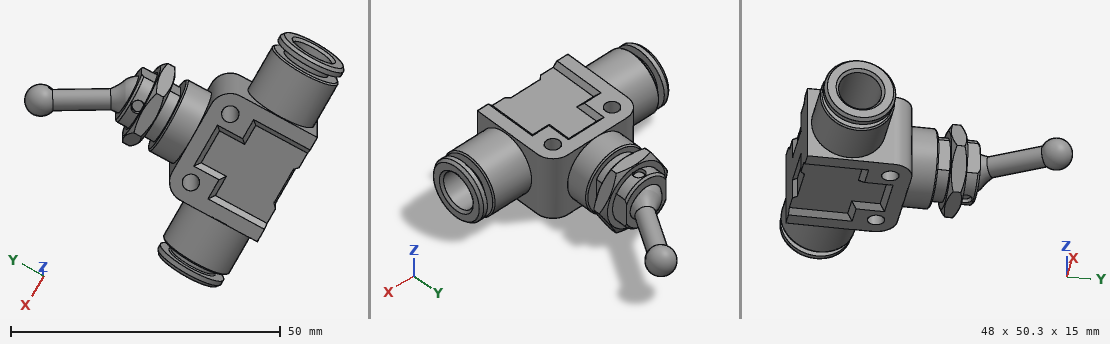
import cadquery as cq
import math


body_width = 22.9
body_thickness = 15.0
body_bottom = -7.75
body_top = 12.55
body_corner_radius = 4.0
mount_hole_diameter = 3.2
mount_hole_spacing = 15.0
mount_hole_y = body_top - body_corner_radius

pocket_depth = 1.0
pocket_wall_angle = 45.0
pocket_half_width = 8.7
pocket_step_y = 4.25
pocket_neck_half_width = 4.5
pocket_top = 9.6

notch_depth = 0.8
notch_half_width = pocket_neck_half_width
web_thickness = 5.0

port_radius = 7.0
port_end = 21.0
port_chamfer = 0.3
sleeve_end = 24.0
sleeve_neck_radius = 4.65
sleeve_neck_chamfer = 0.25
flange_radius = 6.75
flange_width = 1.6
flange_chamfer_length = 0.65
flange_chamfer_height = 0.5
bore_radius = 4.05
bore_mouth_chamfer = 0.55
bore_floor = body_width / 2

collar_radius = body_thickness / 2
collar_top = 17.75
collar_chamfer = 0.3
neck_radius = 6.0
neck_flat_half_width = 5.0
neck_top = 25.95
neck_chamfer = 0.45

nut_sides = 6
nut_across_flats = 15.0
nut_across_corners = nut_across_flats / math.cos(math.pi / nut_sides)
nut_bottom = 20.15
nut_thickness = 3.05
nut_face_radius = 7.3
nut_chamfer_angle = 30.0

pivot_y = 24.0
lever_tilt = 30.0
lever_length = 18.0
lever_ball_radius = 3.0
lever_rod_radius = 2.0
lever_rod_start = 5.0
pivot_ball_radius = 4.25
pivot_ball_end = 2.2
pivot_blend_radius = 10.0

pin_hole_radius = 1.27
pin_radius = 1.1
pin_recess = 0.8


def make_body():
    height = body_top - body_bottom
    body = (
        cq.Workplane("XY")
        .center(0, (body_top + body_bottom) / 2)
        .box(body_width, height, body_thickness)
        .edges("|Z and >Y")
        .fillet(body_corner_radius)
    )
    holes = (
        cq.Workplane("XY", origin=(0, mount_hole_y, -body_thickness / 2))
        .rarray(mount_hole_spacing, 1, 2, 1)
        .circle(mount_hole_diameter / 2)
        .extrude(body_thickness)
    )
    return body.cut(holes)


def tapered_block(half_width, top):
    """Block below the upper body face whose walls slope inward toward the pocket floor."""
    open_end = body_bottom - 2 * pocket_depth
    return (
        cq.Workplane("XY", origin=(0, 0, body_thickness / 2))
        .center(0, (top + open_end) / 2)
        .rect(2 * half_width, top - open_end)
        .extrude(-pocket_depth, taper=pocket_wall_angle)
    )


def make_pocket():
    wide_part = tapered_block(pocket_half_width, pocket_step_y)
    narrow_part = tapered_block(pocket_neck_half_width, pocket_top)
    return wide_part.union(narrow_part)


def make_notch():
    floor_half_width = notch_half_width - notch_depth
    return (
        cq.Workplane("XY", origin=(0, 0, web_thickness / 2))
        .moveTo(-notch_half_width, body_bottom)
        .lineTo(-floor_half_width, body_bottom + notch_depth)
        .lineTo(floor_half_width, body_bottom + notch_depth)
        .lineTo(notch_half_width, body_bottom)
        .close()
        .extrude((body_thickness - web_thickness) / 2)
    )


def make_port():
    """Port and sleeve on the +X side, turned about the X axis."""
    flange_start = sleeve_end - flange_width
    return (
        cq.Workplane("XY")
        .moveTo(bore_floor, bore_radius)
        .lineTo(bore_floor, port_radius)
        .lineTo(port_end - port_chamfer, port_radius)
        .lineTo(port_end, port_radius - port_chamfer)
        .lineTo(port_end, sleeve_neck_radius)
        .lineTo(flange_start - sleeve_neck_chamfer, sleeve_neck_radius)
        .lineTo(flange_start, sleeve_neck_radius + sleeve_neck_chamfer)
        .lineTo(flange_start, flange_radius)
        .lineTo(sleeve_end - flange_chamfer_length, flange_radius)
        .lineTo(sleeve_end, flange_radius - flange_chamfer_height)
        .lineTo(sleeve_end, bore_radius + bore_mouth_chamfer)
        .lineTo(sleeve_end - bore_mouth_chamfer, bore_radius)
        .close()
        .revolve(360, (0, 0, 0), (1, 0, 0))
    )


def cylinder_along_y(radius, start, end):
    return cq.Workplane("XZ", origin=(0, start, 0)).circle(radius).extrude(start - end)


def make_collar():
    return cylinder_along_y(collar_radius, body_top, collar_top).faces(">Y").chamfer(collar_chamfer)


def make_neck():
    neck = cylinder_along_y(neck_radius, body_top, neck_top).faces(">Y").chamfer(neck_chamfer)
    flats = cq.Workplane("XY").box(2 * neck_flat_half_width, 2 * neck_top, 2 * neck_radius)
    return neck.intersect(flats)


def make_nut():
    """Hexagon with its corners on X, trimmed by a double-cone envelope and bored round."""
    nut_top = nut_bottom + nut_thickness
    corner_radius = nut_across_corners / 2
    chamfer_height = (corner_radius - nut_face_radius) * math.tan(math.radians(nut_chamfer_angle))
    hexagon = (
        cq.Workplane("XZ", origin=(0, nut_bottom, 0))
        .polygon(nut_sides, nut_across_corners)
        .extrude(-nut_thickness)
    )
    envelope = (
        cq.Workplane("XY")
        .moveTo(neck_radius, nut_bottom)
        .lineTo(nut_face_radius, nut_bottom)
        .lineTo(corner_radius, nut_bottom + chamfer_height)
        .lineTo(corner_radius, nut_top - chamfer_height)
        .lineTo(nut_face_radius, nut_top)
        .lineTo(neck_radius, nut_top)
        .close()
        .revolve(360, (0, 0, 0), (0, 1, 0))
    )
    return hexagon.intersect(envelope)


def make_lever():
    """Lever turned about Y with its pivot at the origin, then tilted and lifted into place."""
    ball_end_radius = math.sqrt(pivot_ball_radius**2 - pivot_ball_end**2)
    stem = (
        cq.Workplane("XY")
        .moveTo(0, -pivot_ball_radius)
        .threePointArc((pivot_ball_radius, 0), (ball_end_radius, pivot_ball_end))
        .radiusArc((lever_rod_radius, lever_rod_start), pivot_blend_radius)
        .lineTo(lever_rod_radius, lever_length)
        .lineTo(0, lever_length)
        .close()
        .revolve(360, (0, 0, 0), (0, 1, 0))
    )
    ball = cq.Workplane("XY").sphere(lever_ball_radius).translate((0, lever_length, 0))
    lever = stem.union(ball)
    return lever.rotate((0, 0, 0), (0, 0, 1), -lever_tilt).translate((0, pivot_y, 0))


def make_pin_clearance():
    """Open end of the pin hole on the +Z side, with a narrow gap around the pin."""
    hole_end = cq.Workplane("XY", origin=(0, pivot_y, neck_radius))
    gap_depth = 2 * pin_recess
    gap = hole_end.circle(pin_hole_radius).circle(pin_radius).extrude(-gap_depth)
    recess = hole_end.circle(pin_hole_radius).extrude(-pin_recess)
    return recess.union(gap)


def mirrored_in_z(shape):
    return shape.union(shape.mirror("XY"))


valve_body = make_body()
valve_body = valve_body.cut(mirrored_in_z(make_pocket()))
valve_body = valve_body.cut(mirrored_in_z(make_notch()))

port = make_port()
operator = make_neck().union(make_lever())
operator = operator.cut(mirrored_in_z(make_pin_clearance()))
operator = operator.union(make_collar()).union(make_nut())

result = valve_body.union(port).union(port.mirror("YZ")).union(operator)